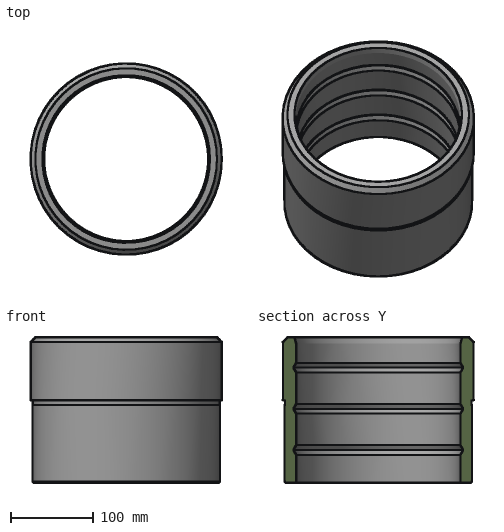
import cadquery as cq
import math

height = 177.0
collar_diameter = 232.5
body_diameter = 228.5
bore_diameter = 199.23

collar_bottom_z = 99.8
collar_top_chamfer = 6.0
collar_bottom_chamfer = 1.0
relief_diameter = 227.5
relief_width = 5.0
body_bottom_chamfer = 2.0

mouth_length = 8.0
mouth_angle = 15.0

groove_count = 3
groove_pitch = 50.0
first_groove_z = 40.0
groove_width = 11.75
groove_flank_angle = 30.0

collar_radius = collar_diameter / 2
body_radius = body_diameter / 2
relief_radius = relief_diameter / 2
bore_radius = bore_diameter / 2
mouth_radius = bore_radius + mouth_length * math.tan(math.radians(mouth_angle))
groove_radius = bore_radius + groove_width / 2 * math.tan(math.radians(groove_flank_angle))


def revolve_about_axis(profile):
    """Close a half profile drawn in the XZ plane and revolve it about Z."""
    return profile.close().revolve(360, (0, 0, 0), (0, 1, 0))


def make_outer_body():
    """Solid of revolution with the outside profile of the sleeve."""
    relief_bottom_z = collar_bottom_z - relief_width
    profile = (
        cq.Workplane("XZ")
        .lineTo(body_radius - body_bottom_chamfer, 0)
        .lineTo(body_radius, body_bottom_chamfer)
        .lineTo(body_radius, relief_bottom_z)
        .lineTo(relief_radius, relief_bottom_z)
        .lineTo(relief_radius, collar_bottom_z)
        .lineTo(collar_radius - collar_bottom_chamfer, collar_bottom_z)
        .lineTo(collar_radius, collar_bottom_z + collar_bottom_chamfer)
        .lineTo(collar_radius, height - collar_top_chamfer)
        .lineTo(collar_radius - collar_top_chamfer, height)
        .lineTo(0, height)
    )
    return revolve_about_axis(profile)


def make_bore():
    """Cutting solid for the bore with its V grooves and tapered mouth."""
    profile = cq.Workplane("XZ").lineTo(bore_radius, 0)
    for index in range(groove_count):
        groove_z = first_groove_z + index * groove_pitch
        profile = (
            profile.lineTo(bore_radius, groove_z - groove_width / 2)
            .lineTo(groove_radius, groove_z)
            .lineTo(bore_radius, groove_z + groove_width / 2)
        )
    profile = (
        profile.lineTo(bore_radius, height - mouth_length)
        .lineTo(mouth_radius, height)
        .lineTo(0, height)
    )
    return revolve_about_axis(profile)


result = make_outer_body().cut(make_bore())